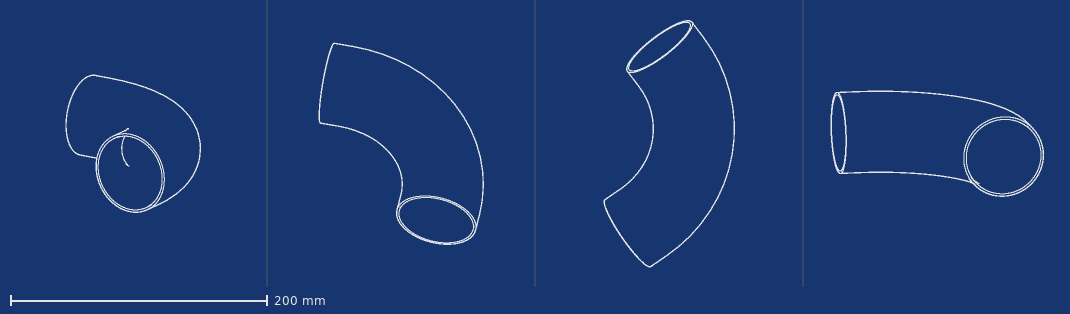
import cadquery as cq
import math

overall_length = 141.8
outer_diameter = 63.5
inner_diameter = 59.5
straight_length = 15.0

bend_radius = overall_length - straight_length - outer_diameter / 2
centerline_offset = straight_length + bend_radius
arc_midpoint = straight_length + bend_radius * math.sqrt(0.5)

centerline = (
    cq.Workplane("XY")
    .moveTo(0, centerline_offset)
    .lineTo(straight_length, centerline_offset)
    .threePointArc((arc_midpoint, arc_midpoint), (centerline_offset, straight_length))
    .lineTo(centerline_offset, 0)
)

result = (
    cq.Workplane("YZ", origin=(0, centerline_offset, 0))
    .circle(outer_diameter / 2)
    .circle(inner_diameter / 2)
    .sweep(centerline)
)